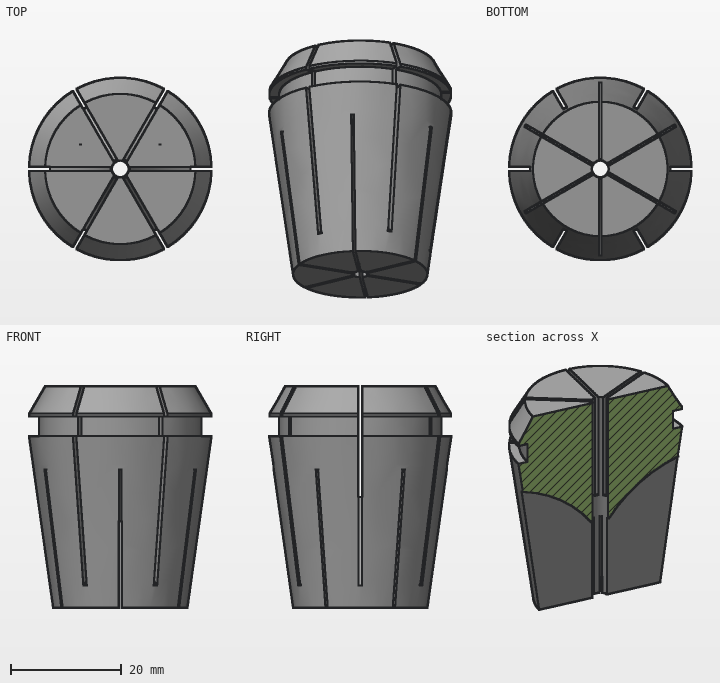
import cadquery as cq
import math

total_height = 40.0
outer_radius = 16.5
bore_radius = 1.5

taper_height = 31.0
taper_angle = 8.0
base_radius = outer_radius - taper_height * math.tan(math.radians(taper_angle))

groove_radius = 14.7
groove_top = 34.5
head_radius = 16.45
head_rim_top = 35.05
head_angle = 30.0
top_radius = head_radius - (total_height - head_rim_top) * math.tan(math.radians(head_angle))

slots_per_end = 6
slot_spacing = 360.0 / slots_per_end
saw_radius = 25.0
floor_inner_radius = 1.8
overshoot = 2.0

top_slot_width = 0.7
top_slot_inner_z = 20.0
top_slot_outer_z = 4.0

bottom_slot_width = 0.5
bottom_slot_inner_z = 15.6
bottom_slot_outer_z = 25.0


def taper_radius(z):
    """Radius of the clamping taper at height z."""
    return base_radius + (outer_radius - base_radius) * z / taper_height


def make_body():
    """Revolve the bored collet without its slots."""
    outline = [
        (bore_radius, 0),
        (base_radius, 0),
        (outer_radius, taper_height),
        (groove_radius, taper_height),
        (groove_radius, groove_top),
        (head_radius, groove_top),
        (head_radius, head_rim_top),
        (top_radius, total_height),
        (bore_radius, total_height),
    ]
    return cq.Workplane("XZ").polyline(outline).close().revolve(360, (0, 0), (0, 1))


def make_slot(width, inner_z, outer_z, open_end_z, arc_radius):
    """Cutter along +X: the floor is an arc from the bore to the taper surface.

    The sign of arc_radius sets which way the floor bends.
    """
    clear_radius = outer_radius + overshoot
    return (
        cq.Workplane("XZ")
        .moveTo(0, inner_z)
        .lineTo(floor_inner_radius, inner_z)
        .radiusArc((taper_radius(outer_z), outer_z), arc_radius)
        .lineTo(clear_radius, outer_z)
        .lineTo(clear_radius, open_end_z)
        .lineTo(0, open_end_z)
        .close()
        .extrude(width / 2, both=True)
    )


def cut_slots(body, slot, first_angle):
    """Cut evenly spaced copies of the slot around the axis."""
    for index in range(slots_per_end):
        angle = first_angle + index * slot_spacing
        body = body.cut(slot.rotate((0, 0, 0), (0, 0, 1), angle))
    return body


top_slot = make_slot(
    top_slot_width, top_slot_inner_z, top_slot_outer_z, total_height + overshoot, -saw_radius
)
bottom_slot = make_slot(
    bottom_slot_width, bottom_slot_inner_z, bottom_slot_outer_z, -overshoot, saw_radius
)

result = cut_slots(make_body(), top_slot, 0)
result = cut_slots(result, bottom_slot, slot_spacing / 2)